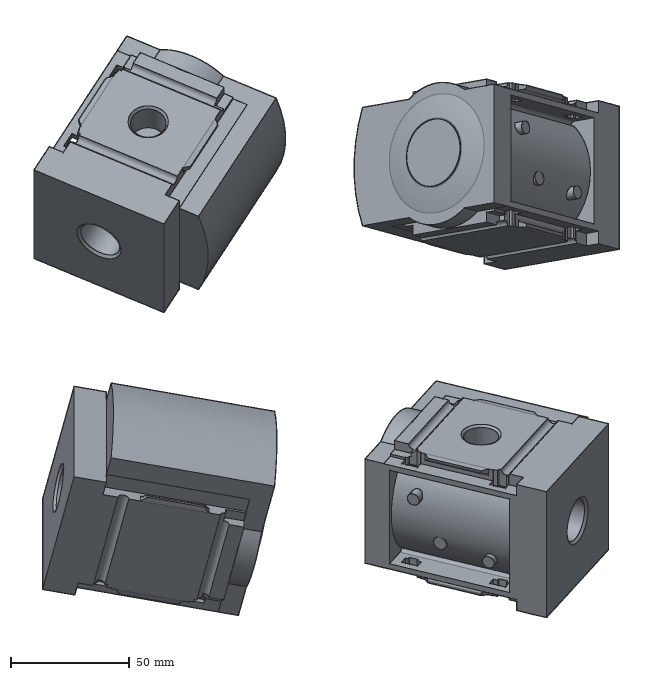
import cadquery as cq


BODY = 62.0
HALF = BODY / 2
FRONT_Y = -45.0
REAR_Y = 39.8

CORE_HALF_X = 24.3
SHELF_Z = 25.6

COVER_HALF_Z = 25.65
COVER_FLAT_X = 40.2
COVER_CROWN_X = 44.8
CAP_HALF_X = 15.1
CAP_Z = 30.6

KNOB_BASE_R = 25.65
KNOB_RIM_R = 15.0
KNOB_RIM_Y = 41.7
KNOB_MID_R = 21.0
KNOB_MID_Y = 40.85
DISC_DIA = 29.0
DISC_Y = 42.2

GROOVE_Y = 22.2
GROOVE_R = 2.35
GROOVE_RISE = 0.3

NOTCH_HALF_X = 20.0
NOTCH_Z = 26.7

SLOT_Y = 20.5
SLOT_OUTER_X = -27.6
SLOT_STEP_X = -23.9
SLOT_INNER_X = -22.6
SLOT_WIDE = 7.3
SLOT_NARROW_Y = 20.85
SLOT_NARROW = 4.1

RIB_OUT = 2.4
RIB_HALF_LENGTH = 14.8
RIB_DROP = 0.3
RIB_FACE_END_Z = 30.0
RIB_CURVE_R = RIB_OUT / 2

WINDOW_HALF_Z = 23.0
WINDOW_FRONT_Y = -27.8
WINDOW_REAR_Y = 28.3
WINDOW_LENGTH = WINDOW_REAR_Y - WINDOW_FRONT_Y
WINDOW_FLOOR_X = -18.5
WINDOW_FILLET = 2.0
INSERT_CROWN_X = -29.1
INSERT_EDGE_X = -20.1
INSERT_HALF_Z = 20.9

PIN_DIA = 5.5
PIN_END_X = -30.3
PIN_Y = 17.5
PIN_Z = 11.0
SCREW_DIA = 6.0
SCREW_END_X = -28.5
SCREW_Y = 5.9
SCREW_Z = -8.6

FRONT_PORT_DIA = 18.63
FRONT_PORT_MOUTH_DIA = 20.95
FRONT_PORT_DEPTH = 20.0
TOP_PORT_DIA = 14.95
TOP_PORT_MOUTH_DIA = 16.95
TOP_PORT_DEPTH = 14.0


def box(x0, x1, y0, y1, z0, z1):
    return cq.Workplane("XY").box(x1 - x0, y1 - y0, z1 - z0, centered=False).translate((x0, y0, z0))


def mirrored_z(shape):
    """The shape together with its mirror image below the middle plane."""
    return shape.union(shape.mirror("XY"))


def make_block():
    block = box(-HALF, HALF, FRONT_Y, HALF, -HALF, HALF)
    for x0, x1 in ((-HALF, -CORE_HALF_X), (CORE_HALF_X, HALF)):
        block = block.cut(mirrored_z(box(x0, x1, -HALF, HALF, SHELF_Z, HALF)))
    return block


def make_cover():
    return (
        cq.Workplane("XZ", origin=(0, REAR_Y, 0))
        .moveTo(HALF, -COVER_HALF_Z)
        .lineTo(COVER_FLAT_X, -COVER_HALF_Z)
        .threePointArc((COVER_CROWN_X, 0), (COVER_FLAT_X, COVER_HALF_Z))
        .lineTo(HALF, COVER_HALF_Z)
        .close()
        .extrude(REAR_Y + HALF)
    )


def make_rear_plate():
    return (
        cq.Workplane("XZ", origin=(0, REAR_Y, 0))
        .moveTo(-HALF, -COVER_HALF_Z)
        .lineTo(-CAP_HALF_X, -COVER_HALF_Z)
        .threePointArc((0, -CAP_Z), (CAP_HALF_X, -COVER_HALF_Z))
        .lineTo(HALF, -COVER_HALF_Z)
        .lineTo(HALF, COVER_HALF_Z)
        .lineTo(CAP_HALF_X, COVER_HALF_Z)
        .threePointArc((0, CAP_Z), (-CAP_HALF_X, COVER_HALF_Z))
        .lineTo(-HALF, COVER_HALF_Z)
        .close()
        .extrude(REAR_Y - HALF)
    )


def make_knob():
    disc_r = DISC_DIA / 2
    return (
        cq.Workplane("XY")
        .moveTo(0, HALF)
        .lineTo(KNOB_BASE_R, HALF)
        .lineTo(KNOB_BASE_R, REAR_Y)
        .threePointArc((KNOB_MID_R, KNOB_MID_Y), (KNOB_RIM_R, KNOB_RIM_Y))
        .lineTo(disc_r, KNOB_RIM_Y)
        .lineTo(disc_r, DISC_Y)
        .lineTo(0, DISC_Y)
        .close()
        .revolve(360, (0, 0, 0), (0, 1, 0))
    )


def make_rib():
    """Rib on the -X wall below the top face, with an S-curved underside and 45 degree ends."""
    tip_x = -CORE_HALF_X - RIB_OUT
    curve_mid_z = RIB_FACE_END_Z - RIB_CURVE_R
    rib = (
        cq.Workplane("XZ", origin=(0, RIB_HALF_LENGTH, 0))
        .moveTo(-CORE_HALF_X, HALF)
        .lineTo(tip_x, HALF - RIB_DROP)
        .lineTo(tip_x, RIB_FACE_END_Z)
        .tangentArcPoint((tip_x + RIB_CURVE_R, curve_mid_z), relative=False)
        .tangentArcPoint((-CORE_HALF_X, curve_mid_z - RIB_CURVE_R), relative=False)
        .close()
        .extrude(2 * RIB_HALF_LENGTH)
    )
    tip_half_length = RIB_HALF_LENGTH - RIB_OUT
    plan = (
        cq.Workplane("XY")
        .polyline([
            (-CORE_HALF_X, -RIB_HALF_LENGTH),
            (-CORE_HALF_X, RIB_HALF_LENGTH),
            (tip_x, tip_half_length),
            (tip_x, -tip_half_length),
        ])
        .close()
        .extrude(HALF)
    )
    return rib.intersect(plan)


def make_grooves():
    return mirrored_z(
        cq.Workplane("YZ", origin=(-HALF, 0, 0))
        .pushPoints([(side * GROOVE_Y, HALF + GROOVE_RISE) for side in (-1, 1)])
        .circle(GROOVE_R)
        .extrude(HALF + CORE_HALF_X)
    )


def make_notches():
    left = box(-CORE_HALF_X, -NOTCH_HALF_X, GROOVE_Y, HALF, NOTCH_Z, HALF)
    return mirrored_z(left.union(left.mirror("YZ")))


def make_slots():
    """Stepped slots that run from the outer faces into the window."""
    wide = box(
        SLOT_OUTER_X, SLOT_STEP_X, SLOT_Y - SLOT_WIDE / 2, SLOT_Y + SLOT_WIDE / 2, INSERT_HALF_Z, HALF
    )
    narrow = box(
        SLOT_STEP_X,
        SLOT_INNER_X,
        SLOT_NARROW_Y - SLOT_NARROW / 2,
        SLOT_NARROW_Y + SLOT_NARROW / 2,
        INSERT_HALF_Z,
        HALF,
    )
    rear = wide.union(narrow)
    return mirrored_z(rear.union(rear.mirror("XZ")))


def make_window():
    return box(
        -HALF, WINDOW_FLOOR_X, WINDOW_FRONT_Y, WINDOW_REAR_Y, -WINDOW_HALF_Z, WINDOW_HALF_Z
    ).edges(">X and |Y").fillet(WINDOW_FILLET)


def make_insert():
    return (
        cq.Workplane("XZ", origin=(0, WINDOW_REAR_Y, 0))
        .moveTo(WINDOW_FLOOR_X, -INSERT_HALF_Z)
        .lineTo(INSERT_EDGE_X, -INSERT_HALF_Z)
        .threePointArc((INSERT_CROWN_X, 0), (INSERT_EDGE_X, INSERT_HALF_Z))
        .lineTo(WINDOW_FLOOR_X, INSERT_HALF_Z)
        .close()
        .extrude(WINDOW_LENGTH)
    )


def make_button(y, z, diameter, end_x):
    return (
        cq.Workplane("YZ", origin=(end_x, y, z))
        .circle(diameter / 2)
        .extrude(WINDOW_FLOOR_X - end_x)
    )


def make_port(bore_dia, mouth_dia, depth):
    """Blind bore along -Z from the origin with a 45 degree countersunk mouth."""
    bore_r = bore_dia / 2
    mouth_r = mouth_dia / 2
    return (
        cq.Workplane("XZ")
        .polyline([(0, 0), (mouth_r, 0), (bore_r, bore_r - mouth_r), (bore_r, -depth), (0, -depth)])
        .close()
        .revolve(360, (0, 0, 0), (0, 1, 0))
    )


part = make_block().cut(make_grooves()).cut(make_notches())
left_ribs = mirrored_z(make_rib())
part = part.union(left_ribs).union(left_ribs.mirror("YZ"))

part = part.union(make_cover()).union(make_rear_plate()).union(make_knob())

part = part.cut(make_window()).cut(make_slots()).union(make_insert())
part = part.union(make_button(PIN_Y, PIN_Z, PIN_DIA, PIN_END_X))
part = part.union(make_button(-PIN_Y, -PIN_Z, PIN_DIA, PIN_END_X))
part = part.union(make_button(SCREW_Y, SCREW_Z, SCREW_DIA, SCREW_END_X))

top_port = make_port(TOP_PORT_DIA, TOP_PORT_MOUTH_DIA, TOP_PORT_DEPTH).translate((0, 0, HALF))
front_port = (
    make_port(FRONT_PORT_DIA, FRONT_PORT_MOUTH_DIA, FRONT_PORT_DEPTH)
    .rotate((0, 0, 0), (1, 0, 0), 90)
    .translate((0, FRONT_Y, 0))
)
part = part.cut(top_port).cut(front_port)

result = part